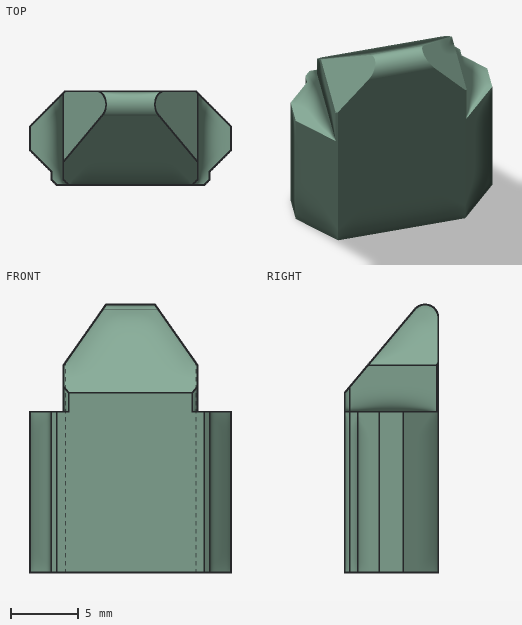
import cadquery as cq
import math

width = 15.0
depth = 7.0
height = 20.0

body_height = 12.0
front_strip_width = 11.8
front_strip_depth = 1.0
side_flat_back = 4.35
corner_chamfer = 0.4

head_width = 10.0
tip_radius = 1.0
front_slope_angle = 50.0
side_slope_angle = 55.0
side_slope_start = 15.45


def mirrored_prism(half_outline, prism_height):
    """Extrude up a plan outline given by the points of its +X half, front to back."""
    other_half = [(-x, y) for x, y in reversed(half_outline)]
    return cq.Workplane("XY").polyline(half_outline + other_half).close().extrude(prism_height)


def body_prism(prism_height):
    """Prism of the body plan, whose side wedges slope at 45 degrees."""
    half_width = width / 2
    half_strip = front_strip_width / 2
    side_flat_front = front_strip_depth + half_width - half_strip
    half_back = half_width - (depth - side_flat_back)
    return mirrored_prism(
        [
            (half_strip - corner_chamfer, 0),
            (half_strip, corner_chamfer),
            (half_strip, front_strip_depth),
            (half_width, side_flat_front),
            (half_width, side_flat_back),
            (half_back, depth),
        ],
        prism_height,
    )


def head_plan_prism():
    """Full-height block of the head plan, with its front corners chamfered."""
    half_head = head_width / 2
    return mirrored_prism(
        [
            (half_head - corner_chamfer, 0),
            (half_head, corner_chamfer),
            (half_head, depth),
        ],
        height,
    )


def head_side_profile():
    """Side profile: a vertical back, a round tip and a tangent slope down to the front."""
    angle = math.radians(front_slope_angle)
    center_y = depth - tip_radius
    center_z = height - tip_radius
    tangent_y = center_y - tip_radius * math.sin(angle)
    tangent_z = center_z + tip_radius * math.cos(angle)
    slope_foot_z = tangent_z - tangent_y * math.tan(angle)
    return (
        cq.Workplane("YZ")
        .moveTo(0, 0)
        .lineTo(depth, 0)
        .lineTo(depth, center_z)
        .threePointArc((center_y, height), (tangent_y, tangent_z))
        .lineTo(0, slope_foot_z)
        .close()
        .extrude(head_width / 2, both=True)
    )


def head_front_profile():
    """Front profile: vertical sides tapering to a narrow tip."""
    half_head = head_width / 2
    taper_height = height - side_slope_start
    half_tip = half_head - taper_height / math.tan(math.radians(side_slope_angle))
    return (
        cq.Workplane("XZ")
        .polyline(
            [
                (-half_head, 0),
                (half_head, 0),
                (half_head, side_slope_start),
                (half_tip, height),
                (-half_tip, height),
                (-half_head, side_slope_start),
            ]
        )
        .close()
        .extrude(-depth)
    )


head = (
    head_plan_prism()
    .intersect(head_side_profile())
    .intersect(head_front_profile())
    .intersect(body_prism(height))
)
result = body_prism(body_height).union(head)